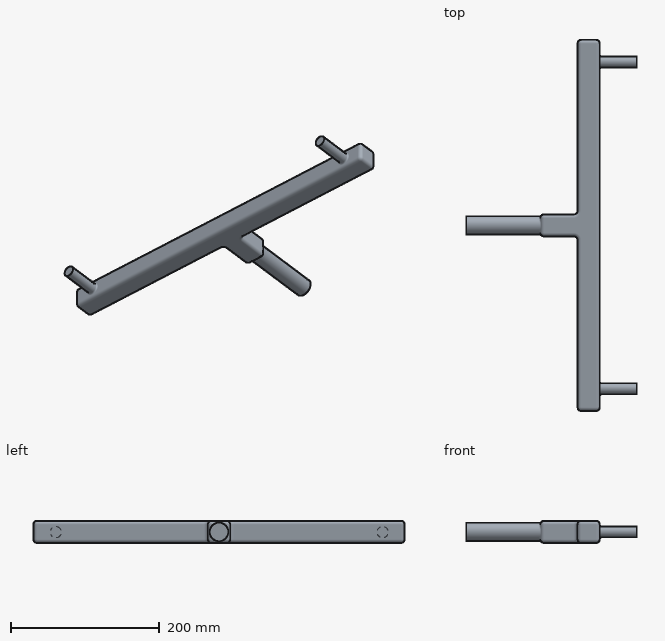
import cadquery as cq

bar_length = 500.0
bar_size = 30.0
edge_radius = 5.0

neck_length = 50.0
neck_corner_radius = 5.0
handle_length = 100.0
handle_diameter = 25.0

pin_length = 50.0
pin_diameter = 15.0
pin_end_distance = 30.0

root_radius = 2.0
root_zone_depth = 1.0

total_width = handle_length + neck_length + bar_size + pin_length
handle_end_x = -total_width / 2
neck_end_x = handle_end_x + handle_length
bar_back_x = neck_end_x + neck_length
bar_front_x = bar_back_x + bar_size


def block(x_start, x_end, width):
    """Square-height block between two X stations, centred in Y and Z."""
    return (
        cq.Workplane("XY")
        .box(x_end - x_start, width, bar_size)
        .translate(((x_start + x_end) / 2, 0, 0))
    )


def rod(x_start, length, diameter, y=0.0):
    """Round rod along +X."""
    return (
        cq.Workplane("YZ", origin=(x_start, y, 0))
        .circle(diameter / 2)
        .extrude(length)
    )


def tee_body():
    """Bar and neck with rounded inner corners and rounded outer edges."""
    bar = block(bar_back_x, bar_front_x, bar_length)
    neck = block(neck_end_x, bar_front_x, bar_size)
    inner_corners = cq.selectors.BoxSelector(
        (bar_back_x - edge_radius, -bar_size, -bar_size),
        (bar_back_x + edge_radius, bar_size, bar_size),
    )
    tee = bar.union(neck)
    tee = tee.edges("|Z").edges(inner_corners).fillet(neck_corner_radius)
    return tee.edges().fillet(edge_radius)


def blend_root(body, root_x, y=0.0):
    """Small fillet around the root of a rod that leaves the body near root_x."""
    root_zone = cq.selectors.BoxSelector(
        (root_x - root_zone_depth, y - bar_size / 2, -bar_size / 2),
        (root_x + root_zone_depth, y + bar_size / 2, bar_size / 2),
    )
    return body.edges("not %LINE").edges(root_zone).fillet(root_radius)


handle = rod(handle_end_x, handle_length + edge_radius, handle_diameter)
result = blend_root(tee_body().union(handle), neck_end_x)

pin_y = bar_length / 2 - pin_end_distance
for y in (-pin_y, pin_y):
    pin = rod(bar_front_x, pin_length, pin_diameter, y)
    result = blend_root(result.union(pin), bar_front_x, y)